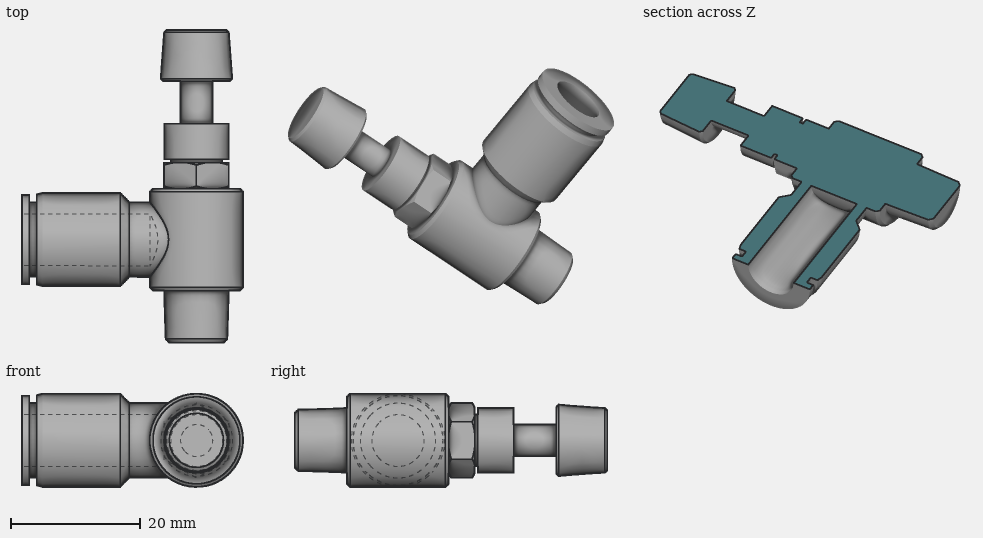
import cadquery as cq
import math


body_diameter = 14.4
body_length = 15.7
body_chamfer = 0.5
body_end = body_length / 2

stud_length = 8.05
stud_root_diameter = 10.0
stud_taper = 1 / 16
stud_chamfer = 0.6

hex_sides = 6
hex_across_flats = 10.0
hex_height = 4.0
hex_chamfer_circle = 10.2
hex_chamfer_angle = 30

neck_diameter = 8.0
neck_length = 0.5
collar_diameter = 10.0
collar_length = 5.5

stem_diameter = 4.95
stem_length = 6.55
knob_length = 7.9
knob_base_diameter = 11.05
knob_top_diameter = 10.0
knob_edge = 0.4

port_reach = 26.9
flange_diameter = 13.8
flange_length = 1.15
port_neck_diameter = 11.55
groove_length = 1.15
barrel_diameter = body_diameter
barrel_length = 14.25
barrel_edge_length = 0.9
barrel_edge_drop = 0.25
bore_diameter = 8.0


def cylinder_along_y(diameter, start, length):
    """Round section on the main axis, from Y = start toward +Y."""
    return cq.Workplane("XZ", origin=(0, start, 0)).circle(diameter / 2).extrude(-length)


def turn_about_y(profile):
    """Revolve a closed (radius, Y) profile about the main axis."""
    return cq.Workplane("XY").polyline(profile).close().revolve(360, (0, 0), (0, 1))


def make_body():
    body = cylinder_along_y(body_diameter, -body_end, body_length)
    return body.faces("<Y or >Y").chamfer(body_chamfer)


def make_stud():
    root_radius = stud_root_diameter / 2
    tip = -body_end - stud_length
    taper_end = tip + stud_chamfer
    taper_radius = root_radius - (stud_length - stud_chamfer) * stud_taper / 2
    return turn_about_y([
        (0, -body_end),
        (root_radius, -body_end),
        (taper_radius, taper_end),
        (taper_radius - stud_chamfer, tip),
        (0, tip),
    ])


def make_hex(start):
    """Hex nut with its corners turned off conically at both ends."""
    across_corners = hex_across_flats / math.cos(math.pi / hex_sides)
    prism = (
        cq.Workplane("XZ", origin=(0, start, 0))
        .transformed(rotate=(0, 0, 90))
        .polygon(hex_sides, across_corners)
        .extrude(-hex_height)
    )
    corner_radius = across_corners / 2
    face_radius = hex_chamfer_circle / 2
    drop = (corner_radius - face_radius) * math.tan(math.radians(hex_chamfer_angle))
    end = start + hex_height
    envelope = turn_about_y([
        (0, start),
        (face_radius, start),
        (corner_radius, start + drop),
        (corner_radius, end - drop),
        (face_radius, end),
        (0, end),
    ])
    return prism.intersect(envelope)


def make_knob(start):
    """Knob that narrows toward its top, with both rims chamfered."""
    base_radius = knob_base_diameter / 2
    top_radius = knob_top_diameter / 2
    end = start + knob_length
    return turn_about_y([
        (0, start),
        (base_radius - knob_edge, start),
        (base_radius, start + knob_edge),
        (top_radius, end - knob_edge),
        (top_radius - knob_edge, end),
        (0, end),
    ])


def make_port():
    """Tube port turned about X, bored through to the main body."""
    mouth = -port_reach
    flange_end = mouth + flange_length
    barrel_start = flange_end + groove_length
    barrel_end = barrel_start + barrel_length
    flange_radius = flange_diameter / 2
    neck_radius = port_neck_diameter / 2
    barrel_radius = barrel_diameter / 2
    bore_radius = bore_diameter / 2
    shoulder_start = barrel_end - (barrel_radius - neck_radius)
    profile = [
        (mouth, bore_radius),
        (mouth, flange_radius),
        (flange_end, flange_radius),
        (flange_end, neck_radius),
        (barrel_start, neck_radius),
        (barrel_start, barrel_radius - barrel_edge_drop),
        (barrel_start + barrel_edge_length, barrel_radius),
        (shoulder_start, barrel_radius),
        (barrel_end, neck_radius),
        (0, neck_radius),
        (0, bore_radius),
    ]
    return cq.Workplane("XY").polyline(profile).close().revolve(360, (0, 0), (1, 0))


neck_start = body_end + hex_height
collar_start = neck_start + neck_length
stem_start = collar_start + collar_length
knob_start = stem_start + stem_length

result = (
    make_body()
    .union(make_stud())
    .union(make_hex(body_end))
    .union(cylinder_along_y(neck_diameter, neck_start, neck_length))
    .union(cylinder_along_y(collar_diameter, collar_start, collar_length))
    .union(cylinder_along_y(stem_diameter, stem_start, stem_length))
    .union(make_knob(knob_start))
    .union(make_port())
)